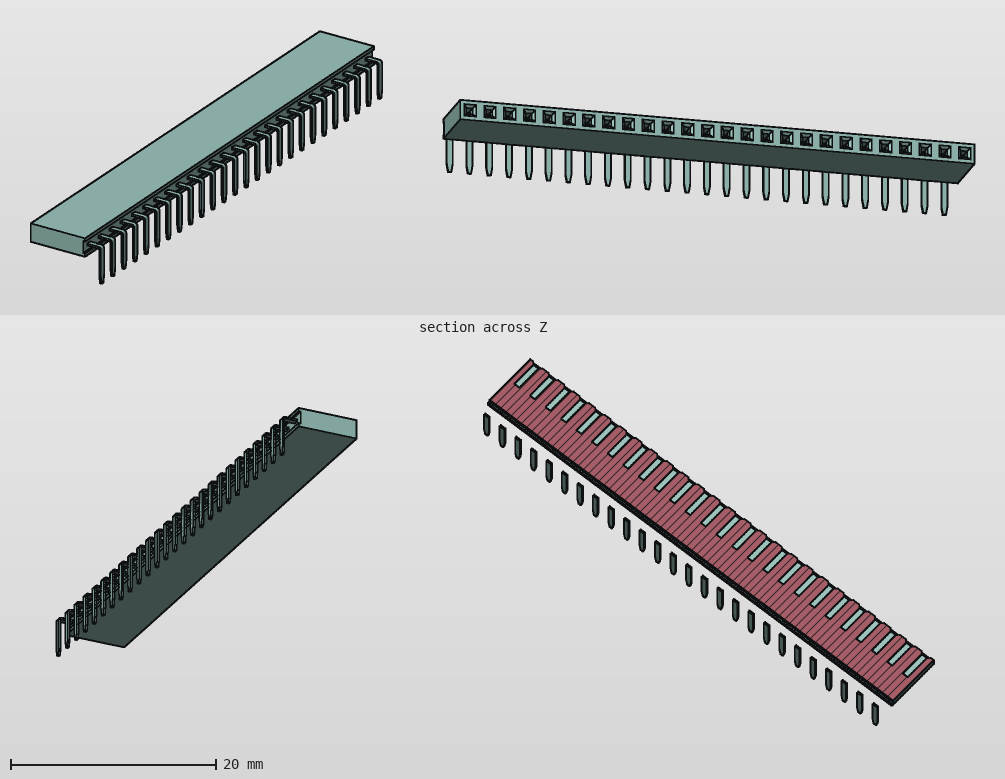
import cadquery as cq

body_width = 52.0
overall_depth = 7.7
overall_height = 4.9

pin_count = 26
pitch = body_width / pin_count
body_depth = 6.3
body_height = pitch
rear_step = 0.2
rear_lip = 0.35

funnel_mouth = 1.2
funnel_throat = 0.6
funnel_depth = (funnel_mouth - funnel_throat) / 2
socket_depth = 3.1

socket_clearance = 0.025
pin_width = funnel_throat - socket_clearance
pin_thickness = 0.2
bend_outer_radius = 0.3
bend_inner_radius = bend_outer_radius - pin_thickness
tip_length = 0.8
tip_width = 0.3
pin_front = 1.05

pin_bottom = body_height / 2 - overall_height
pin_places = [(i - (pin_count - 1) / 2) * pitch for i in range(pin_count)]


def make_housing():
    housing = cq.Workplane("XY").box(body_depth, body_width, body_height, centered=(False, True, True))
    recess = (
        cq.Workplane("XY")
        .box(rear_step, body_width, body_height - 2 * rear_lip, centered=(False, True, True))
        .translate((body_depth - rear_step, 0, 0))
    )
    return housing.cut(recess)


def make_socket():
    """Square funnel leading into a square blind hole."""
    funnel = (
        cq.Workplane("YZ")
        .rect(funnel_mouth, funnel_mouth)
        .workplane(offset=funnel_depth)
        .rect(funnel_throat, funnel_throat)
        .loft(ruled=True)
    )
    hole = cq.Workplane("YZ").rect(funnel_throat, funnel_throat).extrude(socket_depth)
    return funnel.union(hole)


def make_pin():
    """Flat pin that starts inside the socket, leaves the rear face, bends down and ends in a tapered tip."""
    half = pin_thickness / 2
    strip = (
        cq.Workplane("XZ")
        .moveTo(pin_front, half)
        .lineTo(overall_depth - bend_outer_radius, half)
        .radiusArc((overall_depth, half - bend_outer_radius), bend_outer_radius)
        .lineTo(overall_depth, pin_bottom)
        .lineTo(overall_depth - pin_thickness, pin_bottom)
        .lineTo(overall_depth - pin_thickness, half - bend_outer_radius)
        .radiusArc((overall_depth - bend_outer_radius, -half), -bend_inner_radius)
        .lineTo(pin_front, -half)
        .close()
        .extrude(pin_width / 2, both=True)
    )
    for side in (-1, 1):
        waste = (
            cq.Workplane("YZ")
            .polyline([
                (side * pin_width / 2, pin_bottom + tip_length),
                (side * tip_width / 2, pin_bottom),
                (side * pin_width / 2, pin_bottom),
            ])
            .close()
            .extrude(overall_depth)
        )
        strip = strip.cut(waste)
    return strip


def repeat(shape):
    """Copies of a shape at every pin place."""
    return cq.Compound.makeCompound([shape.translate((0, y, 0)).val() for y in pin_places])


result = make_housing().cut(repeat(make_socket())).union(repeat(make_pin()))